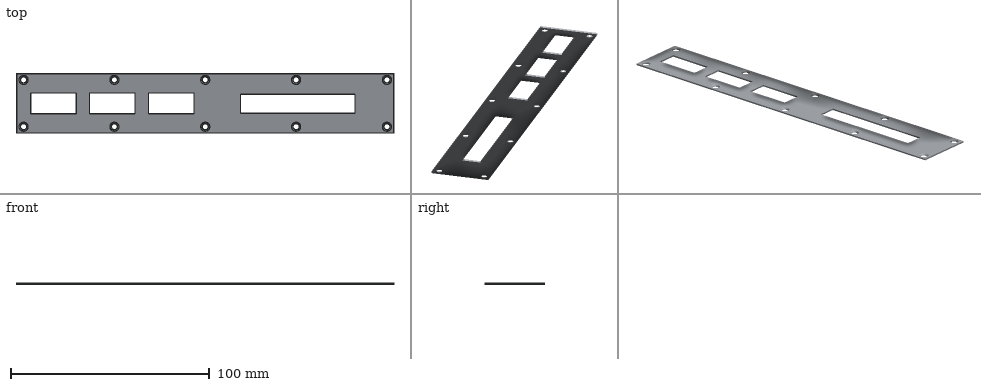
import cadquery as cq

plate_length = 190.0
plate_width = 30.0
plate_thickness = 0.8

holes_per_row = 5
hole_end_inset = 3.5
hole_side_inset = 3.2
hole_diameter = 3.0
countersink_diameter = 4.6
countersink_angle = 90.0

window_count = 3
window_length = 22.8
window_width = 10.3
window_pitch = 29.65
first_window_inset = 7.15
window_center_y = 0.0

slot_length = 57.5
slot_width = 9.5
slot_end_inset = 19.7
slot_center_y = -0.2


def hole_centers():
    """Evenly spaced hole positions in two rows."""
    row_x = plate_length / 2 - hole_end_inset
    row_y = plate_width / 2 - hole_side_inset
    pitch = 2 * row_x / (holes_per_row - 1)
    return [(-row_x + i * pitch, y) for y in (-row_y, row_y) for i in range(holes_per_row)]


def opening(center_x, center_y, length, width):
    """Rectangular cutter through the full plate thickness."""
    return (
        cq.Workplane("XY")
        .box(length, width, plate_thickness, centered=(True, True, False))
        .translate((center_x, center_y, 0))
    )


plate = cq.Workplane("XY").box(
    plate_length, plate_width, plate_thickness, centered=(True, True, False)
)

plate = (
    plate.faces(">Z")
    .workplane()
    .pushPoints(hole_centers())
    .cskHole(hole_diameter, countersink_diameter, countersink_angle)
)

first_window_x = -plate_length / 2 + first_window_inset + window_length / 2
for i in range(window_count):
    window_x = first_window_x + i * window_pitch
    plate = plate.cut(opening(window_x, window_center_y, window_length, window_width))

slot_x = plate_length / 2 - slot_end_inset - slot_length / 2
result = plate.cut(opening(slot_x, slot_center_y, slot_length, slot_width))